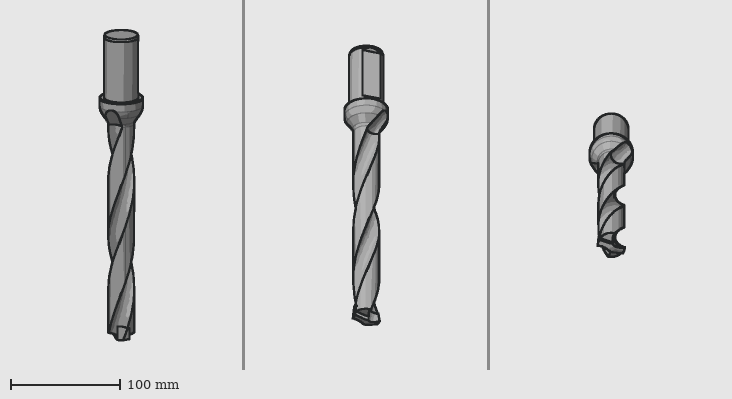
import cadquery as cq
import math

total_height = 293
flange_top = 233.0
flare_top = 221.2
flare_bottom = 209.5
seat_top = 14.6

shank_radius = 32.0 / 2
flange_radius = 40.0 / 2
drill_radius = 24.0 / 2
insert_radius = 25.2 / 2

flange_blend = 12.3
neck_blend = 5.5
flange_chamfer = 0.5

shank_chamfer_height = 2.3
shank_chamfer_width = 1.0
flat_depth = 2.5
flat_top = 290.7
flat_bottom = 236.2

cone_slope = 0.35
body_point_lift = 4.5

insert_thickness = 8.2

flute_count = 2
flute_pitch = 206.5
flute_top = 207.2
flute_radius = 9.0
flute_offset = 12.5
flute_x_height = 34.3
flute_start = -3.0
runout_height = 35.2
runout_outward_slope = 0.83


def flute_angle(height):
    """Direction, in degrees from +X, that the first flute faces at a height."""
    return (height - flute_x_height) / flute_pitch * 360


def circle_near(height):
    """Selector for the circular edge of the turned body at a height."""
    reach = 2 * flange_radius
    margin = flange_chamfer / 2
    return cq.selectors.BoxSelector(
        (-reach, -reach, height - margin), (reach, reach, height + margin), boundingbox=True
    )


def make_turned_body():
    """Shank, flange, flare and drill body with a conical lower end."""
    body_corner = body_point_lift + cone_slope * drill_radius
    profile = (
        cq.Workplane("XZ")
        .moveTo(0, body_point_lift)
        .lineTo(drill_radius, body_corner)
        .lineTo(drill_radius, flare_bottom)
        .lineTo(flange_radius, flare_top)
        .lineTo(flange_radius, flange_top - flange_chamfer)
        .lineTo(flange_radius - flange_chamfer, flange_top)
        .lineTo(shank_radius, flange_top)
        .lineTo(shank_radius, total_height - shank_chamfer_height)
        .lineTo(shank_radius - shank_chamfer_width, total_height)
        .lineTo(0, total_height)
        .close()
    )
    body = profile.revolve(360, (0, 0, 0), (0, 1, 0))
    body = body.edges(circle_near(flare_top)).fillet(flange_blend)
    return body.edges(circle_near(flare_bottom)).fillet(neck_blend)


def make_flat_cutter():
    """Clamping flat on the +Y side of the shank, with 45 degree end ramps."""
    floor_y = shank_radius - flat_depth
    return (
        cq.Workplane("YZ")
        .moveTo(shank_radius, flat_bottom)
        .lineTo(shank_radius, flat_top)
        .lineTo(floor_y, flat_top - flat_depth)
        .lineTo(floor_y, flat_bottom + flat_depth)
        .close()
        .extrude(shank_radius, both=True)
    )


def make_flute_cutter(turn):
    """One helical flute and the straight runout that leaves through the flare."""
    helix_height = flute_top - flute_start
    helix = (
        cq.Workplane("XY")
        .center(flute_offset, 0)
        .circle(flute_radius)
        .center(-flute_offset, 0)
        .twistExtrude(helix_height, helix_height / flute_pitch * 360)
        .rotate((0, 0, 0), (0, 0, 1), flute_angle(flute_start) + turn)
        .translate((0, 0, flute_start))
    )
    tangential_slope = 2 * math.pi * flute_offset / flute_pitch
    runout_path = cq.Vector(runout_outward_slope, tangential_slope, 1) * runout_height
    mouth = cq.Wire.makeCircle(flute_radius, cq.Vector(flute_offset, 0, flute_top), cq.Vector(0, 0, 1))
    runout = cq.Workplane(cq.Solid.extrudeLinear(mouth, [], runout_path)).rotate(
        (0, 0, 0), (0, 0, 1), flute_angle(flute_top) + turn
    )
    return helix, runout


def make_insert_blank():
    """Thin plate across the drill axis, with round ends and a conical point."""
    pointed_cylinder = (
        cq.Workplane("XZ")
        .lineTo(insert_radius, cone_slope * insert_radius)
        .lineTo(insert_radius, seat_top)
        .lineTo(0, seat_top)
        .close()
        .revolve(360, (0, 0, 0), (0, 1, 0))
    )
    return pointed_cylinder.intersect(make_seat())


def make_seat():
    """Slot across the drill end that the insert fills."""
    return cq.Workplane("XY").box(
        2 * flange_radius, insert_thickness, seat_top, centered=(True, True, False)
    )


holder = make_turned_body().cut(make_flat_cutter()).cut(make_seat())
insert = make_insert_blank()
for index in range(flute_count):
    for cutter in make_flute_cutter(index * 360 / flute_count):
        holder = holder.cut(cutter)
        insert = insert.cut(cutter)

result = cq.Compound.makeCompound([holder.val(), insert.val()])